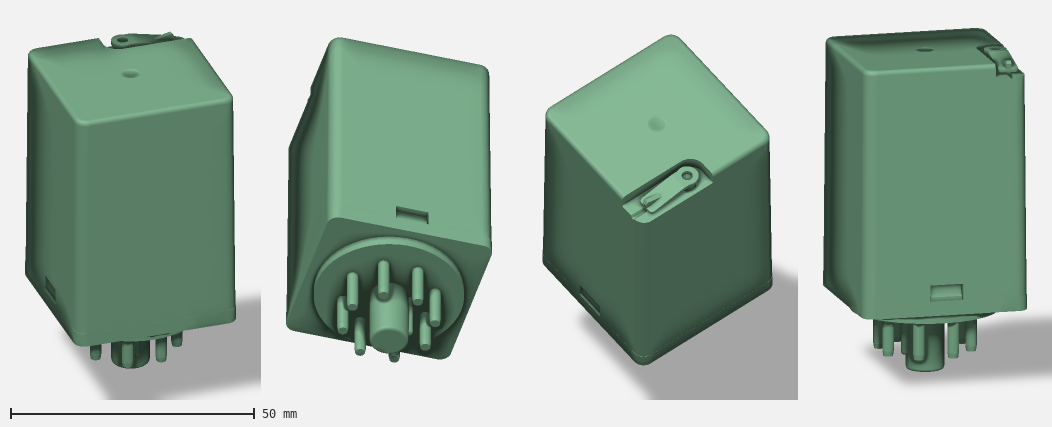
import cadquery as cq
import math

side = 35.0
top_z = 67.1
plug_d = 7.9
plug_fillet = 0.7
disc_bottom_z = 12.9
disc_d = 30.85
lip_bottom_z = 15.0
lip_top_z = 18.05
lip_corner = 2.35

draft_inset = 0.4
cover_corner = 2.55
top_fillet = 0.95
wall = 1.6
tab_width = 14.9
dimple_d = 4.0
dimple_depth = 0.4

window_width = 7.0
window_top_z = 21.5
latch_gap = 0.2
latch_edge_z = 18.85
latch_recess = 0.5

pin_count = 8
pin_circle_r = 9.5
pin_d = 2.35
pin_tip_d = 2.0
pin_tip_z = 4.0
pin_taper_z = 5.1
key_reach = 5.0
key_width = 1.6
key_bottom_z = 3.2
key_corner = 0.75
key_fillet = 0.55

pocket_x = -10.5
pocket_y = -1.3
pocket_depth = 2.8
pocket_corner = 3.3
lever_x = -14.1
lever_y = 3.1
cap_d = 4.7
cap_thickness = 0.9
post_d = 3.7
post_recess_d = 4.7
post_recess_depth = 0.2
cap_hole_d = 2.3
cap_hole_depth = 1.1
strap_width = 4.2
strap_bend_y = 5.45
strap_tip_y = 13.9
strap_drop = 1.9
strap_thickness = 0.7
strap_corner = 0.8
pointer_width = 1.0
pointer_start_y = 9.9
pointer_top_z = 66.95
pointer_setback = 0.3
pointer_nose = 0.2
pointer_nose_z = 66.35
foot_y = 12.3
groove_width = 1.3
groove_floor_width = 0.5
groove_depth = 0.55

half = side / 2
core_side = side - 2 * wall
pocket_floor_z = top_z - pocket_depth
strap_slope = strap_drop / (strap_tip_y - strap_bend_y)


def block(x_size, y_size, z_low, z_high):
    """Box centred on the Z axis between two heights."""
    return cq.Workplane("XY").workplane(offset=z_low).rect(x_size, y_size).extrude(z_high - z_low)


def cylinder(x, y, diameter, z_low, z_high):
    """Upright cylinder between two heights."""
    return cq.Workplane("XY", origin=(x, y, z_low)).circle(diameter / 2).extrude(z_high - z_low)


def side_profile(points, x_centre, width):
    """Outline of (Y, Z) points, extruded evenly to both sides of x_centre."""
    return cq.Workplane("YZ", origin=(x_centre, 0, 0)).polyline(points).close().extrude(width / 2, both=True)


def make_core():
    """Square block that fills the opening of the cover."""
    return block(core_side, core_side, lip_bottom_z, window_top_z)


def make_tab_strip():
    """Strip at lip height, from front to back, that holds the two cover tabs."""
    return block(tab_width, side, lip_bottom_z, lip_top_z)


def make_lip():
    lip = block(side, side, lip_bottom_z, lip_top_z).edges("|Z").fillet(lip_corner)
    return lip.cut(make_tab_strip()).union(make_core())


def make_latch():
    """Ramped latch on the front of the core."""
    core_face = -core_side / 2
    nose = -half + latch_recess
    profile = [
        (core_face, lip_top_z),
        (nose, lip_top_z),
        (nose, latch_edge_z),
        (core_face, window_top_z - latch_gap),
    ]
    return side_profile(profile, 0, window_width - 2 * latch_gap)


def make_plug():
    plug = cylinder(0, 0, plug_d, 0, disc_bottom_z).faces("<Z").edges().fillet(plug_fillet)
    key = (
        cq.Workplane("XY", origin=(key_reach / 2, 0, key_bottom_z))
        .rect(key_reach, key_width)
        .extrude(disc_bottom_z - key_bottom_z)
        .edges("|Z and >X").fillet(key_corner)
        .faces("<Z").edges().fillet(key_fillet)
    )
    return plug.union(key)


def make_pin(x, y):
    shank = cylinder(x, y, pin_d, pin_taper_z, disc_bottom_z)
    tip = cq.Solid.makeCone(
        pin_tip_d / 2, pin_d / 2, pin_taper_z - pin_tip_z, pnt=cq.Vector(x, y, pin_tip_z)
    )
    return shank.union(cq.Workplane(tip))


def make_base():
    base = make_lip().union(cylinder(0, 0, disc_d, disc_bottom_z, lip_bottom_z))
    latch = make_latch()
    base = base.union(latch).union(latch.mirror("XZ"))
    base = base.union(make_plug())
    pin_step = 2 * math.pi / pin_count
    for i in range(pin_count):
        angle = (i + 0.5) * pin_step
        base = base.union(make_pin(pin_circle_r * math.cos(angle), pin_circle_r * math.sin(angle)))
    return base


def make_cover_block():
    height = top_z - lip_bottom_z
    draft = math.degrees(math.atan(draft_inset / height))
    cover = cq.Workplane("XY").workplane(offset=lip_bottom_z).rect(side, side).extrude(height, taper=draft)
    cover = cover.edges("not #Z").fillet(cover_corner)
    return cover.faces(">Z").edges().fillet(top_fillet)


def make_base_opening():
    """Room for the core and for the lip, leaving the front and back tabs."""
    lip_space = block(side, side, lip_bottom_z, lip_top_z)
    return lip_space.cut(make_tab_strip()).union(make_core())


def make_dimple():
    """Ball that leaves a shallow round dimple in the top face."""
    ball_r = ((dimple_d / 2) ** 2 + dimple_depth ** 2) / (2 * dimple_depth)
    return cq.Workplane("XY", origin=(0, 0, top_z - dimple_depth + ball_r)).sphere(ball_r)


def make_pocket():
    """Corner pocket, open to the left, to the back and above."""
    return (
        cq.Workplane("XY", origin=(0, 0, pocket_floor_z))
        .moveTo(-half, pocket_y)
        .lineTo(pocket_x - pocket_corner, pocket_y)
        .radiusArc((pocket_x, pocket_y + pocket_corner), -pocket_corner)
        .lineTo(pocket_x, half)
        .lineTo(-half, half)
        .close()
        .extrude(pocket_depth)
    )


def make_groove():
    """V-sided groove in the pocket floor from the back face to the lever tip."""
    floor_z = pocket_floor_z - groove_depth
    return (
        cq.Workplane("XZ", origin=(lever_x, half, 0))
        .moveTo(-groove_width / 2, pocket_floor_z)
        .lineTo(-groove_floor_width / 2, floor_z)
        .lineTo(groove_floor_width / 2, floor_z)
        .lineTo(groove_width / 2, pocket_floor_z)
        .close()
        .extrude(half - strap_tip_y)
    )


def make_post_recess():
    return cylinder(lever_x, lever_y, post_recess_d, pocket_floor_z - post_recess_depth, pocket_floor_z)


def make_strap():
    """Flat arm from the post that slopes down towards the back."""
    tip_z = top_z - strap_drop
    profile = [
        (lever_y, top_z),
        (strap_bend_y, top_z),
        (strap_tip_y, tip_z),
        (strap_tip_y, tip_z - strap_thickness),
        (strap_bend_y, top_z - strap_thickness),
        (strap_bend_y, top_z - cap_thickness),
        (lever_y, top_z - cap_thickness),
    ]
    return side_profile(profile, lever_x, strap_width).faces(">Y").edges("|Z").fillet(strap_corner)


def make_pointer():
    """Thin upright blade at the strap tip, with a foot down to the pocket floor."""
    strap_mid_drop = strap_thickness / 2
    start_z = top_z - strap_slope * (pointer_start_y - strap_bend_y)
    foot_top_z = top_z - strap_slope * (foot_y - strap_bend_y) - strap_mid_drop
    profile = [
        (pointer_start_y, start_z),
        (strap_tip_y - pointer_setback, pointer_top_z),
        (strap_tip_y + pointer_nose, pointer_nose_z),
        (strap_tip_y, top_z - strap_drop),
        (strap_tip_y, pocket_floor_z),
        (foot_y, pocket_floor_z),
        (foot_y, foot_top_z),
        (pointer_start_y, start_z - strap_mid_drop),
    ]
    return side_profile(profile, lever_x, pointer_width)


def make_lever():
    post = cylinder(lever_x, lever_y, post_d, pocket_floor_z - post_recess_depth, top_z)
    cap = cylinder(lever_x, lever_y, cap_d, top_z - cap_thickness, top_z)
    cap_hole = cylinder(lever_x, lever_y, cap_hole_d, top_z - cap_hole_depth, top_z)
    return post.union(cap).union(make_strap()).union(make_pointer()).cut(cap_hole)


def make_cover():
    windows = block(window_width, side, lip_top_z, window_top_z)
    cover = make_cover_block().cut(make_base_opening()).cut(windows)
    cover = cover.cut(make_dimple()).cut(make_pocket()).cut(make_groove())
    cover = cover.cut(make_post_recess())
    return cover.union(make_lever())


base = make_base()
cover = make_cover()
result = cq.Compound.makeCompound([base.solids().val(), cover.solids().val()])